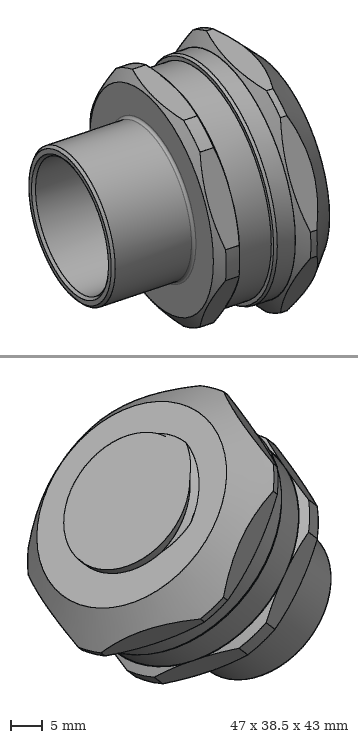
import cadquery as cq
import math


hex_front = 14.95
hex_back = 19.45
body_back = 25.28
nut_front = 29.1
nut_back = 37.05
length = 38.5

tube_radius = 27.0 / 2
bore_radius = 23.4 / 2
bore_depth = 14.4
tube_bevel = 0.45
root_fillet = 0.5

body_radius = 40.0 / 2
collar_radius = 42.0 / 2
collar_bevel_length = 0.5
collar_bevel_height = 0.3
boss_radius = 24.05 / 2

hex_flats = 40.0
hex_corner_radius = 21.55
hex_front_bevel = 1.17
hex_back_bevel = 0.85
nut_flats = 43.0
nut_corner_radius = 23.5
nut_front_bevel = 1.4
nut_back_bevel = 5.4
nut_back_face_radius = nut_corner_radius - nut_back_bevel
shallow_bevel_slope = math.tan(math.radians(30))

thread_crest_radius = 13.3
thread_lead = 8.0
thread_width = 1.3
thread_overlap = 0.25
thread_sweep = 160.0
thread_mid_angle = 180.0
thread_mid_y = (nut_back + length) / 2


def revolve_y(points):
    """Revolve a (radius, y) outline about the Y axis."""
    return cq.Workplane("XY").polyline(points).close().revolve(360, (0, 0, 0), (0, 1, 0))


def cylinder(radius, start, end):
    return revolve_y([(0, start), (radius, start), (radius, end), (0, end)])


def beveled_hexagon(flats, corner, front, back, front_bevel, back_bevel, back_radius):
    """Hexagon with flats facing +Z and -Z, trimmed by a double-cone turned blank."""
    corner_diameter = flats / math.cos(math.radians(30))
    prism = (
        cq.Workplane("XZ", origin=(0, front, 0))
        .polygon(6, corner_diameter)
        .extrude(front - back)
    )
    blank = revolve_y([
        (0, front),
        (corner - front_bevel / shallow_bevel_slope, front),
        (corner, front + front_bevel),
        (corner, back - back_bevel),
        (back_radius, back),
        (0, back),
    ])
    return prism.intersect(blank)


def tube():
    """Tube with a bevelled rim and a flared root, overlapping the hexagon behind it."""
    embed = hex_front + root_fillet
    arc_offset = root_fillet * (1 - math.sqrt(0.5))
    return (
        cq.Workplane("XY")
        .moveTo(0, 0)
        .lineTo(tube_radius - tube_bevel, 0)
        .lineTo(tube_radius, tube_bevel)
        .lineTo(tube_radius, hex_front - root_fillet)
        .threePointArc(
            (tube_radius + arc_offset, hex_front - arc_offset),
            (tube_radius + root_fillet, hex_front),
        )
        .lineTo(tube_radius + root_fillet, embed)
        .lineTo(0, embed)
        .close()
        .revolve(360, (0, 0, 0), (0, 1, 0))
    )


def bore():
    """Blind bore with a bevelled mouth."""
    return revolve_y([
        (0, 0),
        (bore_radius + tube_bevel, 0),
        (bore_radius, tube_bevel),
        (bore_radius, bore_depth),
        (0, bore_depth),
    ])


def collar():
    return revolve_y([
        (0, body_back),
        (collar_radius - collar_bevel_height, body_back),
        (collar_radius, body_back + collar_bevel_length),
        (collar_radius, nut_front),
        (0, nut_front),
    ])


def thread_end():
    """Triangular thread ridge that climbs out of the nut on the -X side."""
    rise = thread_lead * thread_sweep / 360
    inner_radius = boss_radius - thread_overlap
    path = cq.Workplane(cq.Wire.makeHelix(thread_lead, rise, boss_radius))
    ridge = (
        cq.Workplane("XZ")
        .polyline([
            (inner_radius, -thread_width / 2),
            (boss_radius, -thread_width / 2),
            (thread_crest_radius, 0),
            (boss_radius, thread_width / 2),
            (inner_radius, thread_width / 2),
        ])
        .close()
        .sweep(path, isFrenet=True)
        .rotate((0, 0, 0), (0, 0, 1), thread_mid_angle - thread_sweep / 2)
        .rotate((0, 0, 0), (1, 0, 0), -90)
        .translate((0, thread_mid_y - rise / 2, 0))
    )
    return ridge.intersect(cylinder(thread_crest_radius + 0.45, nut_back, length))


hexagon = beveled_hexagon(
    hex_flats, hex_corner_radius, hex_front, hex_back, hex_front_bevel, hex_back_bevel,
    hex_corner_radius - hex_back_bevel / shallow_bevel_slope,
)
nut = beveled_hexagon(
    nut_flats, nut_corner_radius, nut_front, nut_back, nut_front_bevel, nut_back_bevel,
    nut_back_face_radius,
)

result = (
    tube()
    .union(hexagon)
    .union(cylinder(body_radius, hex_back, body_back))
    .union(collar())
    .union(nut)
    .union(cylinder(boss_radius, nut_back, length))
    .union(thread_end())
    .cut(bore())
)